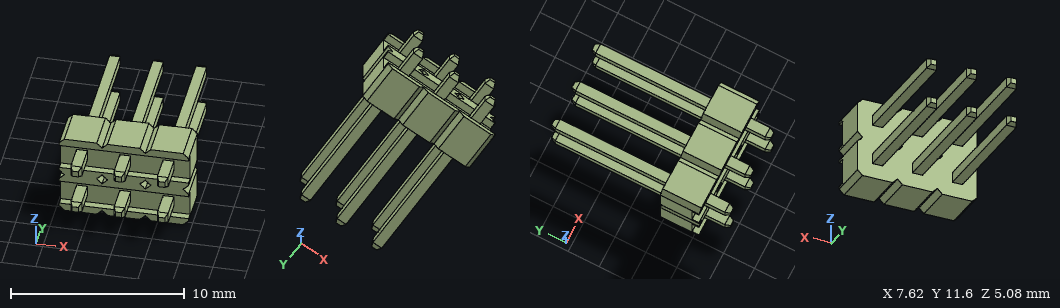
import cadquery as cq

COLUMNS = 3
ROWS = 2
PITCH = 2.54

HOUSING_LENGTH = 2.5
CORNER_CHAMFER = 0.31
CHANNEL_HEIGHT = 1.57
CHANNEL_DEPTH = 0.44

PIN_LENGTH = 11.6
PIN_WIDTH = 0.64
TIP_WIDTH = 0.36
TIP_LENGTH = 0.31
FRONT_PIN_LENGTH = 1.5

housing_width = COLUMNS * PITCH
pin_front = -FRONT_PIN_LENGTH
pin_back = pin_front + PIN_LENGTH


def centred_positions(count):
    """Places of evenly pitched items, centred on zero."""
    return [(index - (count - 1) / 2) * PITCH for index in range(count)]


def square_section(y, width):
    """Square outline facing along Y, at the given place on the Y axis."""
    return cq.Workplane("XZ", origin=(0, y, 0)).rect(width, width)


def make_cell():
    """One housing cell: a block with its four lengthwise edges chamfered."""
    block = cq.Workplane("XY").box(PITCH, HOUSING_LENGTH, PITCH, centered=(True, False, True))
    return block.edges("|Y").chamfer(CORNER_CHAMFER)


def make_channel():
    """Cutter for the channel that crosses the front face along one row."""
    return cq.Workplane("XY").box(
        housing_width, CHANNEL_DEPTH, CHANNEL_HEIGHT, centered=(True, False, True)
    )


def make_tip(base_y, end_y):
    """Tapered pin end, from full width at base_y to the tip width at end_y."""
    return (
        square_section(base_y, PIN_WIDTH)
        .workplane(offset=base_y - end_y)
        .rect(TIP_WIDTH, TIP_WIDTH)
        .loft(ruled=True)
    )


def make_pin():
    """One full pin with a tapered tip at each end."""
    shank_front = pin_front + TIP_LENGTH
    shank_back = pin_back - TIP_LENGTH
    shank = square_section(shank_back, PIN_WIDTH).extrude(shank_back - shank_front)
    return shank.union(make_tip(shank_front, pin_front)).union(make_tip(shank_back, pin_back))


column_places = centred_positions(COLUMNS)
row_places = centred_positions(ROWS)
grid = [(x, 0, z) for x in column_places for z in row_places]

cell = make_cell()
housing = cq.Workplane("XY")
for place in grid:
    housing = housing.union(cell.translate(place))

channel = make_channel()
for z in row_places:
    housing = housing.cut(channel.translate((0, 0, z)))

pin = make_pin()
result = housing
for place in grid:
    result = result.union(pin.translate(place))